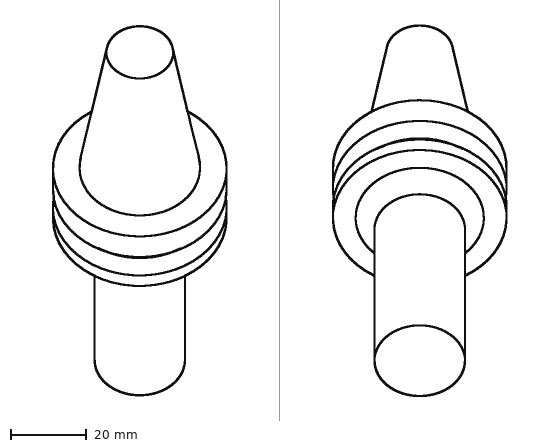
import cadquery as cq

total_length = 130.9
taper_tip_diameter = 17.7
taper_base_diameter = 31.8
flange_diameter = 46.0
groove_diameter = 38.0
shank_diameter = 24.0

shank_length = 55.5
collar_height = 5.0
lower_flange_height = 4.5
groove_chamfer_height = 2.4
groove_floor_height = 3.1
upper_flange_height = 8.8
neck_height = 1.0

collar_top_diameter = shank_diameter + 2 * collar_height

collar_top = shank_length + collar_height
lower_flange_top = collar_top + lower_flange_height
groove_bottom = lower_flange_top + groove_chamfer_height
groove_top = groove_bottom + groove_floor_height
upper_flange_bottom = groove_top + groove_chamfer_height
upper_flange_top = upper_flange_bottom + upper_flange_height
taper_base = upper_flange_top + neck_height

shank_radius = shank_diameter / 2
collar_top_radius = collar_top_diameter / 2
flange_radius = flange_diameter / 2
groove_radius = groove_diameter / 2
taper_base_radius = taper_base_diameter / 2
taper_tip_radius = taper_tip_diameter / 2

half_section = [
    (0, 0),
    (shank_radius, 0),
    (shank_radius, shank_length),
    (collar_top_radius, collar_top),
    (flange_radius, collar_top),
    (flange_radius, lower_flange_top),
    (groove_radius, groove_bottom),
    (groove_radius, groove_top),
    (flange_radius, upper_flange_bottom),
    (flange_radius, upper_flange_top),
    (taper_base_radius, upper_flange_top),
    (taper_base_radius, taper_base),
    (taper_tip_radius, total_length),
    (0, total_length),
]

holder = cq.Workplane("XZ").polyline(half_section).close().revolve(360, (0, 0, 0), (0, 1, 0))
result = holder.translate((0, 0, -total_length / 2))